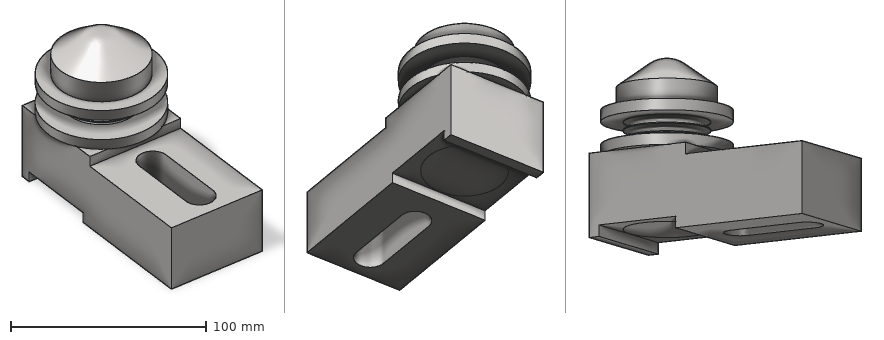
import cadquery as cq
import math

BLOCK_LENGTH = 128.0
BLOCK_WIDTH = 58.0
SEAT_LENGTH = 58.0
SEAT_TOP = 44.0
ARM_TOP = 38.0
RELIEF_DEPTH = 6.0
RELIEF_LENGTH = 46.0
HEEL_LENGTH = 6.0

SLOT_LENGTH = 57.0
SLOT_WIDTH = 17.0
SLOT_END_GAP = 6.5

COLLAR_RADIUS = 34.0
COLLAR_THICKNESS = 6.0
COLLAR_TOP = SEAT_TOP + COLLAR_THICKNESS

EXPOSED_THREAD = 12.0
FLANGE_BOTTOM = COLLAR_TOP + EXPOSED_THREAD
FLANGE_TOP = FLANGE_BOTTOM + COLLAR_THICKNESS
HEAD_RADIUS = 26.0
HEAD_HEIGHT = 12.0
HEAD_TOP = FLANGE_TOP + HEAD_HEIGHT
CONE_HEIGHT = 12.0
CONE_TOP = HEAD_TOP + CONE_HEIGHT
DOME_RADIUS = 16.0
SCREW_TOP = 95.0

CREST_RADIUS = 22.5
PITCH = 4.5
FLANK_ANGLE = math.radians(30)
SHARP_HEIGHT = PITCH / 2 / math.tan(FLANK_ANGLE)
ROOT_RADIUS = CREST_RADIUS - SHARP_HEIGHT * 17 / 24
ROOT_ROUNDING = SHARP_HEIGHT / 6
CREST_HALF_WIDTH = PITCH / 16
GROOVE_COUNT = 12

BLOCK_LEFT = -SEAT_LENGTH / 2
BLOCK_RIGHT = BLOCK_LEFT + BLOCK_LENGTH


def make_support(screw):
    """Stepped block with a relieved underside, slotted arm, round collar and matching screw hole."""
    relief_left = BLOCK_LEFT + HEEL_LENGTH
    relief_right = relief_left + RELIEF_LENGTH
    block = (
        cq.Workplane("XZ")
        .moveTo(BLOCK_LEFT, 0)
        .lineTo(relief_left, 0)
        .lineTo(relief_left, RELIEF_DEPTH)
        .lineTo(relief_right, RELIEF_DEPTH)
        .lineTo(relief_right, 0)
        .lineTo(BLOCK_RIGHT, 0)
        .lineTo(BLOCK_RIGHT, ARM_TOP)
        .lineTo(BLOCK_LEFT + SEAT_LENGTH, ARM_TOP)
        .lineTo(BLOCK_LEFT + SEAT_LENGTH, SEAT_TOP)
        .lineTo(BLOCK_LEFT, SEAT_TOP)
        .close()
        .extrude(BLOCK_WIDTH / 2, both=True)
    )
    collar = cq.Workplane("XY", origin=(0, 0, SEAT_TOP)).circle(COLLAR_RADIUS).extrude(COLLAR_THICKNESS)
    slot_center = BLOCK_RIGHT - SLOT_END_GAP - SLOT_LENGTH / 2
    slot = cq.Workplane("XY").center(slot_center, 0).slot2D(SLOT_LENGTH, SLOT_WIDTH).extrude(ARM_TOP)
    return block.union(collar).cut(slot).cut(screw).solids()


def make_screw():
    """Revolved screw: threaded shank, flange, round head, cone and a dome tangent to the cone."""
    dome_center = SCREW_TOP - DOME_RADIUS
    cone_top_radius = math.sqrt(DOME_RADIUS**2 - (CONE_TOP - dome_center) ** 2)
    half_angle = math.atan2(cone_top_radius, CONE_TOP - dome_center) / 2
    dome_middle = (DOME_RADIUS * math.sin(half_angle), dome_center + DOME_RADIUS * math.cos(half_angle))

    profile = cq.Workplane("XZ").moveTo(0, RELIEF_DEPTH).lineTo(CREST_RADIUS, RELIEF_DEPTH)

    rounding_center = ROOT_RADIUS + ROOT_ROUNDING
    flank_start_radius = rounding_center - ROOT_ROUNDING * math.sin(FLANK_ANGLE)
    flank_start_height = ROOT_ROUNDING * math.cos(FLANK_ANGLE)
    flank_end_height = PITCH / 2 - CREST_HALF_WIDTH

    for groove in reversed(range(GROOVE_COUNT)):
        root = FLANGE_BOTTOM - (groove + 0.5) * PITCH
        profile = (
            profile.lineTo(CREST_RADIUS, root - flank_end_height)
            .lineTo(flank_start_radius, root - flank_start_height)
            .threePointArc((ROOT_RADIUS, root), (flank_start_radius, root + flank_start_height))
            .lineTo(CREST_RADIUS, root + flank_end_height)
        )
    profile = profile.lineTo(CREST_RADIUS, FLANGE_BOTTOM)
    return (
        profile.lineTo(COLLAR_RADIUS, FLANGE_BOTTOM)
        .lineTo(COLLAR_RADIUS, FLANGE_TOP)
        .lineTo(HEAD_RADIUS, FLANGE_TOP)
        .lineTo(HEAD_RADIUS, HEAD_TOP)
        .lineTo(cone_top_radius, CONE_TOP)
        .threePointArc(dome_middle, (0, SCREW_TOP))
        .close()
        .revolve(360, (0, 0, 0), (0, 1, 0))
    )


screw = make_screw()
support = make_support(screw)

result = cq.Compound.makeCompound([support.val(), screw.val()])